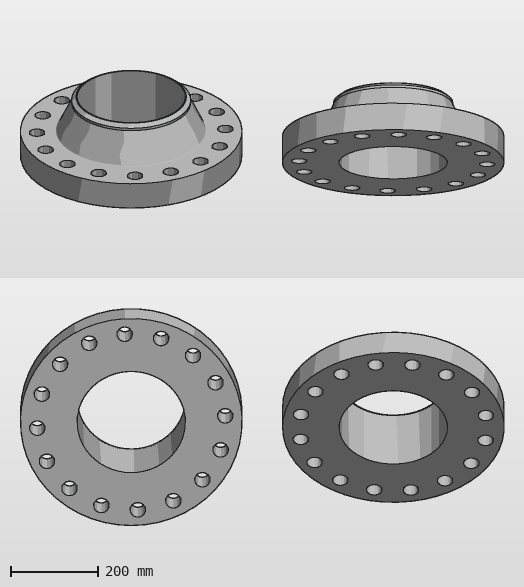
import cadquery as cq

flange_diameter = 508.0
flange_thickness = 63.5
overall_height = 152.5
bore_diameter = 248.0

bolt_count = 16
bolt_circle_diameter = 431.5
bolt_hole_diameter = 35.0

neck_base_diameter = 343.0
collar_diameter = 273.0
collar_height = 6.0
bevel_height = 8.0
land_width = 2.5
neck_root_fillet = 3.0


def make_body():
    """Revolve the half section of the plate and neck, bore included."""
    bore_radius = bore_diameter / 2
    flange_radius = flange_diameter / 2
    collar_radius = collar_diameter / 2
    bevel_start = overall_height - bevel_height
    section = (
        cq.Workplane("XZ")
        .moveTo(bore_radius, 0)
        .lineTo(flange_radius, 0)
        .lineTo(flange_radius, flange_thickness)
        .lineTo(neck_base_diameter / 2, flange_thickness)
        .lineTo(collar_radius, bevel_start - collar_height)
        .lineTo(collar_radius, bevel_start)
        .lineTo(bore_radius + land_width, overall_height)
        .lineTo(bore_radius, overall_height)
        .close()
    )
    return section.revolve(360, (0, 0, 0), (0, 1, 0))


def round_neck_root(body):
    """Fillet the circle where the neck meets the top of the plate."""
    reach = neck_base_diameter / 2 + neck_root_fillet
    margin = neck_root_fillet / 2
    root_region = cq.selectors.BoxSelector(
        (-reach, -reach, flange_thickness - margin),
        (reach, reach, flange_thickness + margin),
        boundingbox=True,
    )
    return body.edges(root_region).fillet(neck_root_fillet)


def make_bolt_holes():
    return (
        cq.Workplane("XY")
        .polarArray(bolt_circle_diameter / 2, 0, 360, bolt_count)
        .circle(bolt_hole_diameter / 2)
        .extrude(flange_thickness)
    )


result = round_neck_root(make_body()).cut(make_bolt_holes())